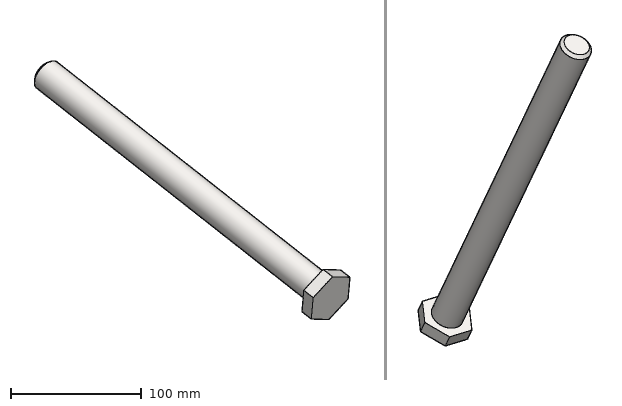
import cadquery as cq
import math

total_length = 327.7
head_thickness = 10.8
shank_diameter = 25.5
tip_chamfer = 2.5

head_height = 44.0
head_lean_angle = 5.1
across_corners = head_height / math.cos(math.radians(head_lean_angle))

shank_length = total_length - head_thickness

shank = (
    cq.Workplane("YZ")
    .circle(shank_diameter / 2)
    .extrude(shank_length)
    .faces("<X")
    .chamfer(tip_chamfer)
)

head = (
    cq.Workplane("YZ", origin=(shank_length, 0, 0))
    .polygon(6, across_corners)
    .extrude(head_thickness)
    .rotate((0, 0, 0), (1, 0, 0), 90 - head_lean_angle)
)

result = shank.union(head)